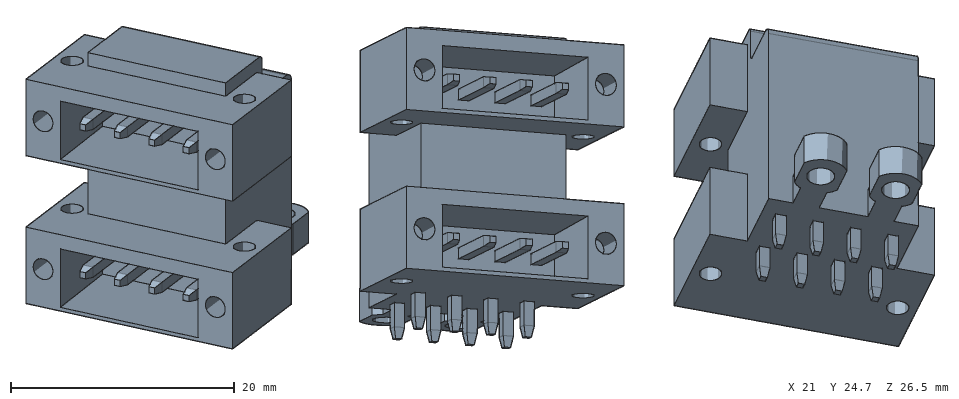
import cadquery as cq


pitch = 3.5
contacts_per_row = 4
row_spacing = 14.5
pin_size = 1.0
pin_tip_size = 0.6
pin_taper_length = 1.0
pin_axis_height = 3.5
pin_tip_y = 1.0
solder_tail_length = 3.2
lower_leg_y = 10.2
leg_row_spacing = 5.0

flange_width = 21.0
flange_depth = 11.1
flange_height = 7.5

cavity_width = contacts_per_row * pitch
cavity_depth = 8.0
cavity_floor = 0.37
cavity_mouth_height = 5.73
cavity_roof_drop = 0.2
cavity_floor_rise = 0.1

screw_hole_diameter = 2.0
screw_hole_x = (flange_width + cavity_width) / 4
front_hole_depth = 3.0
vertical_hole_y = 5.5

body_width = cavity_width
body_front_y = 5.2
body_back_y = 17.7
body_top = 23.3
step_y = 12.1
step_height = 19.5
back_edge_radius = 1.0
step_radius = 0.5

lug_x = pitch
lug_radius = 2.5
lug_width = 4.0
lug_hole_diameter = 2.5
lug_neck_width = 2.45
lug_thickness = 3.0
lug_centre_y = 22.2


def make_body():
    """Stepped block, extruded across X, with rounded step edges."""
    block = (
        cq.Workplane("YZ")
        .moveTo(body_front_y, 0)
        .lineTo(body_back_y, 0)
        .lineTo(body_back_y, step_height)
        .lineTo(step_y, step_height)
        .lineTo(step_y, body_top)
        .lineTo(body_front_y, body_top)
        .close()
        .extrude(body_width / 2, both=True)
    )
    rounded_edges = (
        (body_back_y, step_height, back_edge_radius),
        (step_y, step_height, step_radius),
        (step_y, body_top, step_radius),
    )
    for edge_y, edge_z, radius in rounded_edges:
        nearest = cq.selectors.NearestToPointSelector((0, edge_y, edge_z))
        block = block.edges(nearest).fillet(radius)
    return block


def make_flange(base_z):
    """Plain flange block standing on base_z."""
    return (
        cq.Workplane("XY", origin=(0, 0, base_z))
        .box(flange_width, flange_depth, flange_height, centered=(True, False, False))
    )


def make_cavity(base_z):
    """Mating cavity of the flange block that stands on base_z."""
    floor_z = base_z + cavity_floor
    roof_z = floor_z + cavity_mouth_height
    return (
        cq.Workplane("YZ")
        .moveTo(0, floor_z)
        .lineTo(cavity_depth, floor_z + cavity_floor_rise)
        .lineTo(cavity_depth, roof_z - cavity_roof_drop)
        .lineTo(0, roof_z)
        .close()
        .extrude(cavity_width / 2, both=True)
    )


def make_screw_holes(base_z):
    """Blind holes in the front face and through holes from the top of one flange block."""
    centres_x = (-screw_hole_x, screw_hole_x)
    front = (
        cq.Workplane("XZ")
        .pushPoints([(x, base_z + flange_height / 2) for x in centres_x])
        .circle(screw_hole_diameter / 2)
        .extrude(-front_hole_depth)
    )
    vertical = (
        cq.Workplane("XY", origin=(0, 0, base_z))
        .pushPoints([(x, vertical_hole_y) for x in centres_x])
        .circle(screw_hole_diameter / 2)
        .extrude(flange_height)
    )
    return front.add(vertical).combine()


def make_lug(centre_x):
    """Flat-sided eyelet with a neck that runs into the back of the body."""
    plane = cq.Workplane("XY", origin=(centre_x, lug_centre_y, 0))
    disc = plane.circle(lug_radius).extrude(lug_thickness)
    flats = plane.rect(lug_width, 2 * lug_radius).extrude(lug_thickness)
    neck_length = lug_centre_y - body_back_y
    neck = (
        plane.center(0, -neck_length / 2)
        .rect(lug_neck_width, neck_length)
        .extrude(lug_thickness)
    )
    hole = plane.circle(lug_hole_diameter / 2).extrude(lug_thickness)
    return disc.intersect(flats).union(neck).cut(hole)


def make_pin(x, axis_z, leg_y):
    """Right-angle square pin with a tapered contact tip and a tapered solder tail."""
    half = pin_size / 2
    contact_start_y = pin_tip_y + pin_taper_length
    tail_end_z = -solder_tail_length
    tail_start_z = tail_end_z + pin_taper_length
    shank = (
        cq.Workplane("YZ", origin=(x, 0, 0))
        .moveTo(contact_start_y, axis_z - half)
        .lineTo(leg_y - half, axis_z - half)
        .lineTo(leg_y - half, tail_start_z)
        .lineTo(leg_y + half, tail_start_z)
        .lineTo(leg_y + half, axis_z + half)
        .lineTo(contact_start_y, axis_z + half)
        .close()
        .extrude(half, both=True)
    )
    contact_tip = (
        cq.Workplane("XZ", origin=(x, pin_tip_y, axis_z))
        .rect(pin_tip_size, pin_tip_size)
        .workplane(offset=-pin_taper_length)
        .rect(pin_size, pin_size)
        .loft()
    )
    tail_tip = (
        cq.Workplane("XY", origin=(x, leg_y, tail_end_z))
        .rect(pin_tip_size, pin_tip_size)
        .workplane(offset=pin_taper_length)
        .rect(pin_size, pin_size)
        .loft()
    )
    return shank.union(contact_tip).union(tail_tip)


level_bases = (0, row_spacing)

pins = []
for level, level_base in enumerate(level_bases):
    axis_height = level_base + pin_axis_height
    leg_row_y = lower_leg_y + level * leg_row_spacing
    for contact in range(contacts_per_row):
        pin_x = (contact - (contacts_per_row - 1) / 2) * pitch
        pins.append(make_pin(pin_x, axis_height, leg_row_y))

housing = make_body()
for level_base in level_bases:
    housing = housing.union(make_flange(level_base))
for level_base in level_bases:
    housing = housing.cut(make_cavity(level_base)).cut(make_screw_holes(level_base))
for side in (-1, 1):
    housing = housing.union(make_lug(side * lug_x))
for pin in pins:
    housing = housing.cut(pin)

result = cq.Compound.makeCompound([housing.val(), *[pin.val() for pin in pins]])